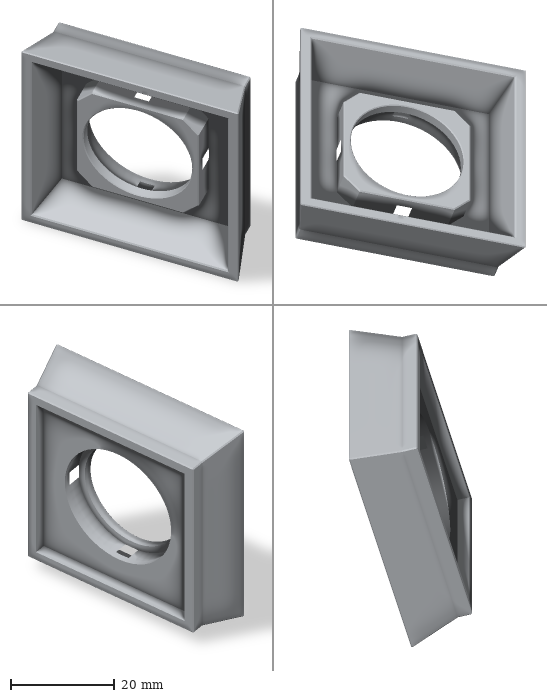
import cadquery as cq
import math

WIDTH = 45.35
HEIGHT = 45.65
DEPTH = 13.0
BASE_DEPTH = 2.95
FLARE_DEPTH = DEPTH - BASE_DEPTH
FLARE_ANGLE = 15.0
EDGE_CHAMFER = 0.25

RIM_WIDTH = 2.2
CAVITY_ANGLE = 16.0
CAVITY_DEPTH = 9.13

WEB_THICKNESS = 1.4
RECESS_WALL = 2.1

BOSS_SIZE = 25.5
BOSS_HEIGHT = 5.0
BOSS_CORNER = 3.2
BOSS_CHAMFER = 0.25
BORE_CHAMFER = 0.2
BORE_DIAMETER = 22.7
COUNTERBORE_DIAMETER = 25.7
LIP_THICKNESS = 2.0

FRONT_Y = -DEPTH / 2
BACK_Y = DEPTH / 2
BASE_Y = FRONT_Y + FLARE_DEPTH
FLOOR_Y = FRONT_Y + CAVITY_DEPTH
WEB_BACK_Y = FLOOR_Y + WEB_THICKNESS
BOSS_FRONT_Y = FLOOR_Y - BOSS_HEIGHT
CHAMFER_TRIM = 2 * EDGE_CHAMFER * math.sin(math.radians(FLARE_ANGLE))
SHARP_WIDTH = WIDTH + CHAMFER_TRIM
SHARP_HEIGHT = HEIGHT + CHAMFER_TRIM
FLARE_NARROWING = 2 * FLARE_DEPTH * math.tan(math.radians(FLARE_ANGLE))
BASE_WIDTH = SHARP_WIDTH - FLARE_NARROWING
BASE_HEIGHT = SHARP_HEIGHT - FLARE_NARROWING
TOLERANCE = 0.005


def plane_at(y):
    """Workplane across the part at y, extruding toward +Y."""
    return cq.Workplane(cq.Plane(origin=(0, y, 0), xDir=(1, 0, 0), normal=(0, 1, 0)))


def tapered_block(width, height, depth, angle):
    """Block narrowing from the front face toward the back."""
    return plane_at(FRONT_Y).rect(width, height).extrude(depth, taper=angle)


def make_housing():
    flare = tapered_block(SHARP_WIDTH, SHARP_HEIGHT, FLARE_DEPTH, FLARE_ANGLE)
    base = plane_at(BASE_Y).rect(BASE_WIDTH, BASE_HEIGHT).extrude(BASE_DEPTH)
    housing = flare.union(base)
    outer_edges = [
        edge
        for edge in housing.edges().vals()
        if abs(edge.Center().y - BASE_Y) > TOLERANCE
    ]
    return housing.newObject(outer_edges).chamfer(EDGE_CHAMFER)


def cut_cavity(body):
    cavity = tapered_block(WIDTH - 2 * RIM_WIDTH, HEIGHT - 2 * RIM_WIDTH, CAVITY_DEPTH, CAVITY_ANGLE)
    hollow = body.cut(cavity)
    mouth_edges = hollow.faces("<Y").val().innerWires()[0].Edges()
    return hollow.newObject(mouth_edges).chamfer(EDGE_CHAMFER)


def cut_recess(body):
    recess = (
        plane_at(WEB_BACK_Y)
        .rect(BASE_WIDTH - 2 * RECESS_WALL, BASE_HEIGHT - 2 * RECESS_WALL)
        .extrude(BACK_Y - WEB_BACK_Y)
    )
    return body.cut(recess)


def make_boss():
    boss = plane_at(BOSS_FRONT_Y).rect(BOSS_SIZE, BOSS_SIZE).extrude(BOSS_HEIGHT)
    return boss.edges("|Y").chamfer(BOSS_CORNER).faces("<Y").edges().chamfer(BOSS_CHAMFER)


def cut_bore(body):
    """Bore the lip; the wider rear counterbore breaks through the boss flats as small windows."""
    counterbore_y = BOSS_FRONT_Y + LIP_THICKNESS
    bore = plane_at(BOSS_FRONT_Y).circle(BORE_DIAMETER / 2).extrude(BACK_Y - BOSS_FRONT_Y)
    counterbore = (
        plane_at(counterbore_y)
        .circle(COUNTERBORE_DIAMETER / 2)
        .extrude(BACK_Y - counterbore_y)
    )
    mouth = cq.Workplane(
        cq.Solid.makeCone(
            BORE_DIAMETER / 2 + BORE_CHAMFER,
            BORE_DIAMETER / 2,
            BORE_CHAMFER,
            cq.Vector(0, BOSS_FRONT_Y, 0),
            cq.Vector(0, 1, 0),
        )
    )
    return body.cut(bore).cut(counterbore).cut(mouth)


hollow_housing = cut_recess(cut_cavity(make_housing()))
result = cut_bore(hollow_housing.union(make_boss()))